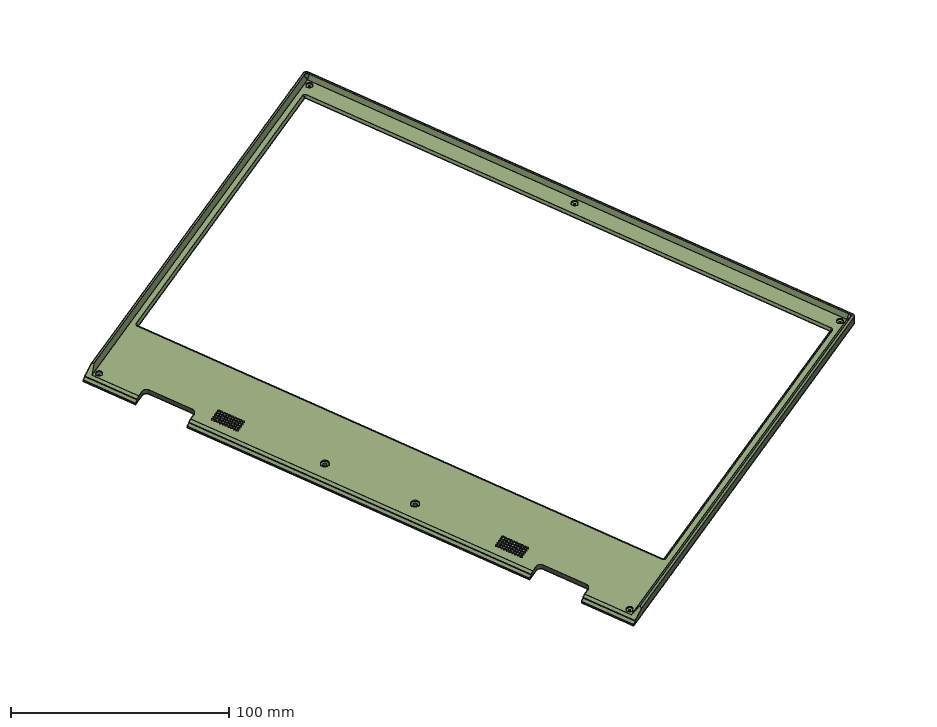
import cadquery as cq
import math

length = 290.0
width = 205.3
height = 5.5
left = -length / 2
front = -width / 2
back = width / 2

floor_z = 3.2
corner_radius = 1.5
rim_ridge_inset = 1.2
rim_top_drop = 0.44
rim_foot_inset = 3.0

lip_height = 1.2
lower_slope_run = 1.5
lower_slope_top = 2.0
step_height = 0.44
rim_end_run = 8.0

window_side_margin = 6.7
window_back_margin = 12.0
window_front_margin = 39.5
bevel_width = 1.2
bevel_depth = 1.2
relief_width = 3.0

notch_x = 103.8
notch_width = 27.3
notch_depth = 8.5
notch_radius = 2.3

screw_diameter = 3.2
screw_hole_diameter = 1.0
screw_depth = 1.0
screw_inset = 5.2
screw_front_inset = 5.5

hole_row_y = front + 10.7
counterbore_x = 23.8
counterbore_diameter = 4.0
counterbore_depth = 1.0
through_diameter = 2.0
grille_x = 74.8
vent_diameter = 1.0
vent_pitch = 1.5
vent_columns = 10
vent_rows = 5


def make_blank():
    """Full-height body: stepped front edge and a rim top that falls away outwards."""
    side_profile = [
        (front, 0),
        (front, lip_height),
        (front + lower_slope_run, lower_slope_top),
        (front + lower_slope_run, lower_slope_top + step_height),
        (front + rim_end_run, height),
        (back, height),
        (back, 0),
    ]
    sloped_front = cq.Workplane("YZ", origin=(left, 0, 0)).polyline(side_profile).close().extrude(length)
    slab = cq.Workplane("XY").rect(length, width).extrude(height)
    slab = slab.edges("|Z and >Y").fillet(corner_radius)
    slab = slab.faces(">Z").edges().chamfer(rim_top_drop, rim_ridge_inset)
    return slab.intersect(sloped_front)


def make_recess():
    """Hollow inside the rim, with sloped walls and an open front."""
    depth = height - floor_z
    wall_slope = math.degrees(math.atan2(rim_foot_inset - rim_ridge_inset, depth))
    foot_length = length - 2 * rim_foot_inset
    base = cq.Workplane("XY", origin=(0, -rim_foot_inset, floor_z))
    return base.rect(foot_length, width).extrude(depth, taper=-wall_slope)


def make_window():
    """Opening through the plate: bevelled above, with a wider relief below the bevel."""
    opening_length = length - 2 * window_side_margin
    opening_width = width - window_back_margin - window_front_margin
    bevel_bottom = floor_z - bevel_depth
    bevel_slope = math.degrees(math.atan2(bevel_width, bevel_depth))
    base = cq.Workplane("XY").center(0, (window_front_margin - window_back_margin) / 2)
    relief_outline = base.rect(opening_length + 2 * relief_width, opening_width + 2 * relief_width)
    relief = relief_outline.extrude(bevel_bottom)
    opening = base.workplane(offset=bevel_bottom).rect(opening_length, opening_width)
    return relief.union(opening.extrude(bevel_depth, taper=-bevel_slope))


def make_notches():
    """Hinge notches cut from the front edge, rounded at their inner corners."""
    centres = [(-notch_x, front), (notch_x, front)]
    blocks = cq.Workplane("XY").pushPoints(centres).rect(notch_width, 2 * notch_depth).extrude(height)
    return blocks.edges("|Z").fillet(notch_radius)


def drill(centres, diameter, depth=floor_z):
    """Round holes going down from the plate's upper face; through holes by default."""
    base = cq.Workplane("XY", origin=(0, 0, floor_z - depth))
    return base.pushPoints(centres).circle(diameter / 2).extrude(depth)


def vent_centres():
    """Grid of vent centres for both grilles."""
    return [
        (
            grille + (column - (vent_columns - 1) / 2) * vent_pitch,
            hole_row_y + (row - (vent_rows - 1) / 2) * vent_pitch,
        )
        for grille in (-grille_x, grille_x)
        for column in range(vent_columns)
        for row in range(vent_rows)
    ]


screw_x = length / 2 - screw_inset
screw_centres = [(x, back - screw_inset) for x in (-screw_x, 0, screw_x)]
screw_centres += [(x, front + screw_front_inset) for x in (-screw_x, screw_x)]
counterbore_centres = [(-counterbore_x, hole_row_y), (counterbore_x, hole_row_y)]

result = (
    make_blank()
    .cut(make_recess())
    .cut(make_window())
    .cut(make_notches())
    .cut(drill(screw_centres, screw_diameter, screw_depth))
    .cut(drill(screw_centres, screw_hole_diameter))
    .cut(drill(counterbore_centres, counterbore_diameter, counterbore_depth))
    .cut(drill(counterbore_centres, through_diameter))
    .cut(drill(vent_centres(), vent_diameter))
)